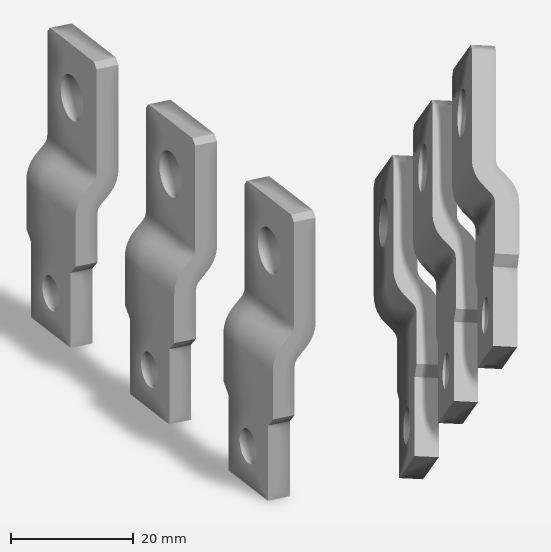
import cadquery as cq
import math

strap_count = 3
strap_pitch = 35.0

width = 17.5
height = 50.5
thickness = 4.0
top_chamfer = 1.0

tongue_width = 14.0
shoulder_bottom = 13.4
shoulder_rise = (width - tongue_width) / 2

leg_offset = 3.85
bend_start = 23.8
bend_angle = math.radians(45)
inner_radius = 2.0
outer_radius = inner_radius + thickness
bend_radii = inner_radius + outer_radius
slope_length = (leg_offset - bend_radii * (1 - math.cos(bend_angle))) / math.sin(bend_angle)
bend_end = bend_start + bend_radii * math.sin(bend_angle) + slope_length * math.cos(bend_angle)

lower_centre = (outer_radius, bend_start)
upper_centre = (leg_offset - inner_radius, bend_end)

upper_hole_diameter = 8.0
upper_hole_z = 41.0
lower_hole_diameter = 6.0
lower_hole_z = 7.0


def lower_bend_point(radius, angle):
    """Point on the lower bend, with the angle measured from its vertical leg."""
    return (
        lower_centre[0] - radius * math.cos(angle),
        lower_centre[1] + radius * math.sin(angle),
    )


def upper_bend_point(radius, angle):
    """Point on the upper bend, with the angle measured from its vertical leg."""
    return (
        upper_centre[0] + radius * math.cos(angle),
        upper_centre[1] - radius * math.sin(angle),
    )


def make_bent_plate():
    """Joggled side profile in the YZ plane, extruded across the full width."""
    half_angle = bend_angle / 2
    return (
        cq.Workplane("YZ")
        .moveTo(0, 0)
        .lineTo(*lower_bend_point(outer_radius, 0))
        .threePointArc(
            lower_bend_point(outer_radius, half_angle), lower_bend_point(outer_radius, bend_angle)
        )
        .lineTo(*upper_bend_point(inner_radius, bend_angle))
        .threePointArc(
            upper_bend_point(inner_radius, half_angle), upper_bend_point(inner_radius, 0)
        )
        .lineTo(leg_offset, height)
        .lineTo(leg_offset + thickness, height)
        .lineTo(*upper_bend_point(outer_radius, 0))
        .threePointArc(
            upper_bend_point(outer_radius, half_angle), upper_bend_point(outer_radius, bend_angle)
        )
        .lineTo(*lower_bend_point(inner_radius, bend_angle))
        .threePointArc(
            lower_bend_point(inner_radius, half_angle), lower_bend_point(inner_radius, 0)
        )
        .lineTo(thickness, 0)
        .close()
        .extrude(width / 2, both=True)
    )


def make_front_outline():
    """Block with the strap's front outline, deep enough to span the joggle."""
    half_width = width / 2
    half_tongue = tongue_width / 2
    right_side = [
        (half_tongue, 0),
        (half_tongue, shoulder_bottom),
        (half_width, shoulder_bottom + shoulder_rise),
        (half_width, height - top_chamfer),
        (half_width - top_chamfer, height),
    ]
    left_side = [(-x, z) for x, z in reversed(right_side)]
    depth = leg_offset + thickness
    return cq.Workplane("XZ").polyline(right_side + left_side).close().extrude(-depth)


def make_hole(diameter, z):
    """Cutter along Y through the whole depth of the strap."""
    depth = leg_offset + thickness
    return cq.Workplane("XZ").center(0, z).circle(diameter / 2).extrude(-depth)


def make_strap():
    strap = make_bent_plate().intersect(make_front_outline())
    strap = strap.cut(make_hole(upper_hole_diameter, upper_hole_z))
    return strap.cut(make_hole(lower_hole_diameter, lower_hole_z))


straps = []
for index in range(strap_count):
    strap_x = (index - (strap_count - 1) / 2) * strap_pitch
    straps.append(make_strap().translate((strap_x, 0, 0)).solids().val())

result = cq.Compound.makeCompound(straps)